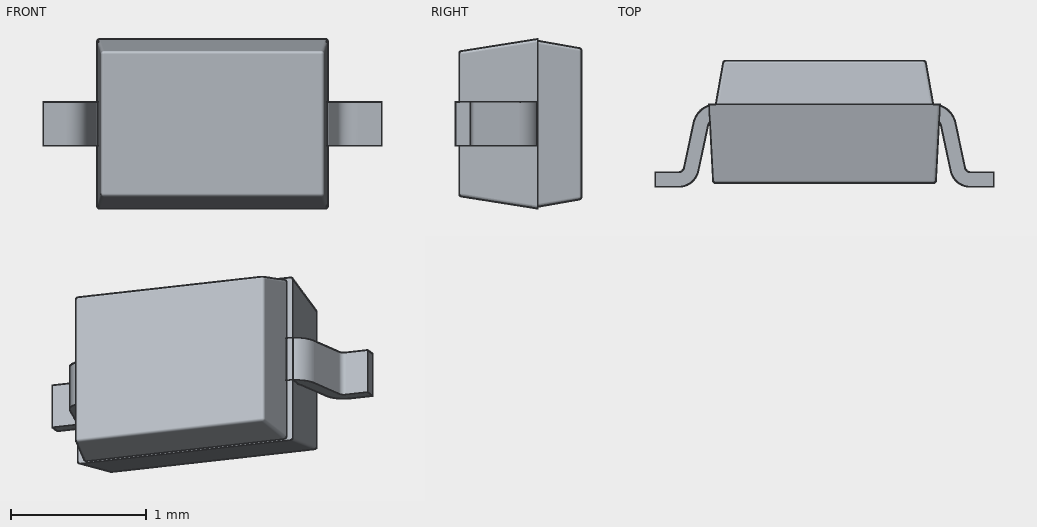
import cadquery as cq
import math


FRONT_WIDTH = 1.7
FRONT_HEIGHT = 1.25
FRONT_DEPTH = 0.58
FRONT_SIDE_DRAFT = 3.0
FRONT_END_DRAFT = 9.0

BACK_WIDTH = 1.6
BACK_HEIGHT = 1.223
BACK_DEPTH = 0.32
BACK_DRAFT = 10.0

EDGE_RADIUS = 0.022

LEAD_SPAN = 2.49
LEAD_WIDTH = 0.324
LEAD_THICKNESS = 0.11
LEAD_DROP = 0.608
LEG_TILT = 12.0
FOOT_FLAT = 0.172
FOOT_BEND_RADIUS = 0.04
SHOULDER_BEND_RADIUS = 0.062
LEAD_INNER_END = 0.697


def drafted_half(width, height, depth, side_draft, end_draft, direction):
    """Tapered block from the parting plane along Y (direction +1 or -1), with rounded edges."""
    face_width = width - 2 * depth * math.tan(math.radians(side_draft))
    face_height = height - 2 * depth * math.tan(math.radians(end_draft))
    block = (
        cq.Workplane("XZ")
        .rect(width, height)
        .workplane(offset=-direction * depth)
        .rect(face_width, face_height)
        .loft(ruled=True)
    )
    parting_edges = block.faces(">Y" if direction < 0 else "<Y").edges().vals()
    rounded_edges = [
        edge for edge in block.edges().vals()
        if not any(edge.isSame(parting_edge) for parting_edge in parting_edges)
    ]
    return block.newObject(rounded_edges).fillet(EDGE_RADIUS)


def make_lead(side):
    """Z-bent strip lead; side is +1 for the +X lead and -1 for the -X lead."""
    bend_half_angle = math.radians((90 - LEG_TILT) / 2)
    miter = LEAD_THICKNESS * math.tan(bend_half_angle)
    tip_x = LEAD_SPAN / 2
    foot_top_y = LEAD_THICKNESS - LEAD_DROP

    foot_inside = (tip_x - FOOT_FLAT - FOOT_BEND_RADIUS * math.tan(bend_half_angle), foot_top_y)
    foot_outside = (foot_inside[0] - miter, -LEAD_DROP)
    shoulder_outside = (foot_inside[0] + foot_top_y * math.tan(math.radians(LEG_TILT)), 0)
    shoulder_inside = (shoulder_outside[0] - miter, -LEAD_THICKNESS)

    outline = [
        (LEAD_INNER_END, 0),
        shoulder_outside,
        foot_inside,
        (tip_x, foot_top_y),
        (tip_x, -LEAD_DROP),
        foot_outside,
        shoulder_inside,
        (LEAD_INNER_END, -LEAD_THICKNESS),
    ]
    lead = (
        cq.Workplane("XY")
        .polyline(outline)
        .close()
        .extrude(LEAD_WIDTH / 2, both=True)
    )

    bends = [
        (foot_inside, FOOT_BEND_RADIUS),
        (foot_outside, FOOT_BEND_RADIUS + LEAD_THICKNESS),
        (shoulder_inside, SHOULDER_BEND_RADIUS),
        (shoulder_outside, SHOULDER_BEND_RADIUS + LEAD_THICKNESS),
    ]
    for corner, radius in bends:
        lead = lead.edges(cq.selectors.NearestToPointSelector((*corner, 0))).fillet(radius)

    return lead if side > 0 else lead.mirror("YZ")


leads = [make_lead(side) for side in (-1, 1)]

back_housing = drafted_half(BACK_WIDTH, BACK_HEIGHT, BACK_DEPTH, BACK_DRAFT, BACK_DRAFT, 1)

front_housing = drafted_half(
    FRONT_WIDTH, FRONT_HEIGHT, FRONT_DEPTH, FRONT_SIDE_DRAFT, FRONT_END_DRAFT, -1
)
for lead in leads:
    front_housing = front_housing.cut(lead)

result = cq.Compound.makeCompound(
    [front_housing.solids().val(), back_housing.solids().val(), *[lead.solids().val() for lead in leads]]
)